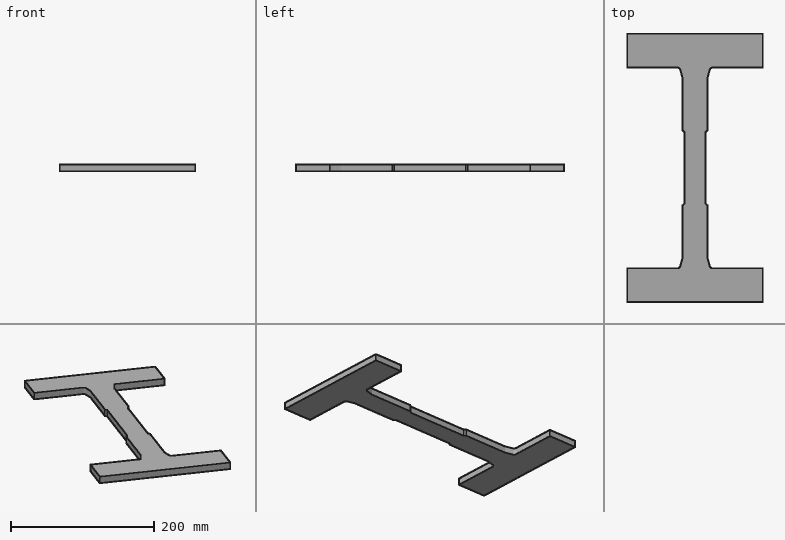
import cadquery as cq
import math

WIDTH = 190.0
LENGTH = 375.0
THICKNESS = 10.0

GRIP_LENGTH = 47.5

WEB_WIDTH = 35.0
GAUGE_WIDTH = 30.0
GAUGE_LENGTH = 100.0

TAPER_LENGTH = 14.75
TAPER_ANGLE = 15.0
CORNER_RADIUS = 3.5

half_width = WIDTH / 2
half_length = LENGTH / 2
half_web = WEB_WIDTH / 2
half_gauge = GAUGE_WIDTH / 2
half_gauge_length = GAUGE_LENGTH / 2
half_flare = half_web + TAPER_LENGTH * math.tan(math.radians(TAPER_ANGLE))

shoulder_y = half_gauge_length + (half_web - half_gauge)
grip_y = half_length - GRIP_LENGTH
taper_y = grip_y - TAPER_LENGTH


def quarter_plate():
    """Quarter of the plate in +X, +Y, bounded by the two symmetry planes."""
    outline = [
        (0, 0),
        (half_gauge, 0),
        (half_gauge, half_gauge_length),
        (half_web, shoulder_y),
        (half_web, taper_y),
        (half_flare, grip_y),
        (half_width, grip_y),
        (half_width, half_length),
        (0, half_length),
    ]
    plate = cq.Workplane("XY").polyline(outline).close().extrude(THICKNESS)
    inner_corner = cq.NearestToPointSelector((half_flare, grip_y, THICKNESS / 2))
    return plate.edges("|Z").edges(inner_corner).fillet(CORNER_RADIUS)


def full_plate():
    """Full plate, made by mirroring the quarter about both symmetry planes."""
    quarter = quarter_plate()
    half = quarter.union(quarter.mirror("YZ"))
    return half.union(half.mirror("XZ")).clean()


result = full_plate()